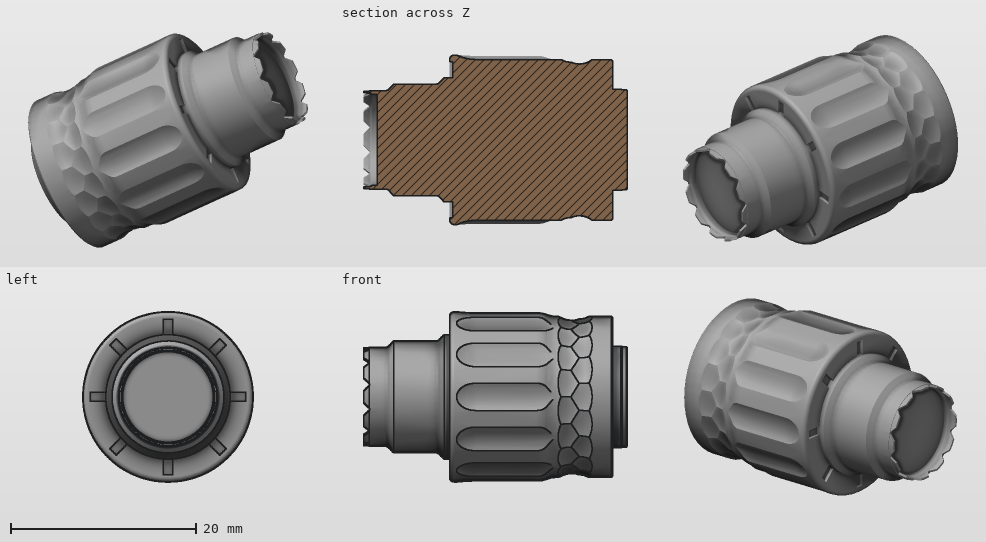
import cadquery as cq
import math

TOTAL_LENGTH = 28.5

TOOTH_RADIUS = 5.29
TOOTH_LENGTH = 0.62
TOOTH_COUNT = 12
NOTCH_ROOT_WIDTH = 0.2
NOTCH_MOUTH_WIDTH = 1.46
MOUTH_RADIUS = 5.06
BORE_RADIUS = 4.9
BORE_FILLET = 0.1
BORE_CONE_END = 0.9
BORE_DEPTH = 1.45

NOSE_RADIUS = 5.35
BARREL_RADIUS = 6.05
COLLAR_RADIUS = 6.73
NOSE_END = 2.38
BARREL_END = 7.83
SHOULDER_LENGTH = 0.86
SHOULDER_ARC_LENGTH = 0.32
SHOULDER_ANGLE = 45

GRIP_START = 9.28
GRIP_RADIUS = 9.2
GRIP_FILLET = 0.53
TAPER_START = 18.78
TAPER_ANGLE = 26.8
TAPER_LAND = 0.08
NECK_RADIUS = 8.7
NECK_END = 26.93
NECK_CHAMFER = 0.17

SPIGOT_RADIUS = 5.5
SPIGOT_TIP_RADIUS = 5.43
SPIGOT_STEP_START = 27.77
SPIGOT_STEP_END = 27.96
SPIGOT_CHAMFER = 0.13

FLUTE_COUNT = 12
FLUTE_RADIUS = 3.1
FLUTE_FLOOR = 8.71
FLUTE_RUN_START = 12.1
FLUTE_START = 10.05

POCKET_COUNT = 8
POCKET_WIDTH = 0.98
POCKET_REACH = 8.4
POCKET_DEPTH = 0.35

HOLLOW_COUNT = 18
HOLLOW_RING_CENTER = 22.85
HOLLOW_RING_SPACING = 0.96
HOLLOW_AXIAL_RADIUS = 2.16
HOLLOW_CROSS_RADIUS = 13.5
HOLLOW_DEPTH = 0.48
HOLLOW_SWEEP = 16


def spin(profile):
    """Revolve an (X, radius) outline fully around the part axis."""
    return profile.close().revolve(360, (0, 0, 0), (1, 0, 0))


def add_shoulder(outline, start, low_radius, high_radius):
    """Continue the outline with a rounded root and a cone up to the next radius."""
    arc_rise = SHOULDER_ARC_LENGTH * math.tan(math.radians(SHOULDER_ANGLE / 2))
    outline = outline.lineTo(start, low_radius)
    arc_end = (start + SHOULDER_ARC_LENGTH, low_radius + arc_rise)
    outline = outline.tangentArcPoint(arc_end, relative=False)
    return outline.lineTo(start + SHOULDER_LENGTH, high_radius)


def make_body():
    """Solid turned body: nose, barrel, collar, grip, neck and spigot."""
    land_drop = TAPER_LAND * math.tan(math.radians(TAPER_ANGLE))
    arc_drop = (GRIP_RADIUS - NECK_RADIUS - land_drop) / 2
    arc_length = arc_drop / math.tan(math.radians(TAPER_ANGLE / 2))
    land_start = TAPER_START + arc_length
    land_end = land_start + TAPER_LAND
    neck_start = land_end + arc_length
    fillet_mid = GRIP_FILLET * (1 - math.sqrt(0.5))

    outline = cq.Workplane("XY").moveTo(0, 0).lineTo(0, TOOTH_RADIUS)
    outline = outline.lineTo(TOOTH_LENGTH, TOOTH_RADIUS).lineTo(TOOTH_LENGTH, NOSE_RADIUS)
    outline = add_shoulder(outline, NOSE_END, NOSE_RADIUS, BARREL_RADIUS)
    outline = add_shoulder(outline, BARREL_END, BARREL_RADIUS, COLLAR_RADIUS)
    outline = (
        outline.lineTo(GRIP_START, COLLAR_RADIUS)
        .lineTo(GRIP_START, GRIP_RADIUS - GRIP_FILLET)
        .threePointArc(
            (GRIP_START + fillet_mid, GRIP_RADIUS - fillet_mid),
            (GRIP_START + GRIP_FILLET, GRIP_RADIUS),
        )
        .lineTo(TAPER_START, GRIP_RADIUS)
        .tangentArcPoint((land_start, GRIP_RADIUS - arc_drop), relative=False)
        .lineTo(land_end, NECK_RADIUS + arc_drop)
        .tangentArcPoint((neck_start, NECK_RADIUS), relative=False)
        .lineTo(NECK_END - NECK_CHAMFER, NECK_RADIUS)
        .lineTo(NECK_END, NECK_RADIUS - NECK_CHAMFER)
        .lineTo(NECK_END, SPIGOT_RADIUS)
        .lineTo(SPIGOT_STEP_START, SPIGOT_RADIUS)
        .lineTo(SPIGOT_STEP_END, SPIGOT_TIP_RADIUS)
        .lineTo(TOTAL_LENGTH - SPIGOT_CHAMFER, SPIGOT_TIP_RADIUS)
        .lineTo(TOTAL_LENGTH, SPIGOT_TIP_RADIUS - SPIGOT_CHAMFER)
        .lineTo(TOTAL_LENGTH, 0)
    )
    return spin(outline)


def make_bore():
    """Shallow blind bore in the nose, narrowing behind the teeth."""
    return spin(
        cq.Workplane("XY")
        .moveTo(0, 0)
        .lineTo(0, MOUTH_RADIUS)
        .lineTo(TOOTH_LENGTH, MOUTH_RADIUS)
        .lineTo(BORE_CONE_END, BORE_RADIUS)
        .lineTo(BORE_DEPTH - BORE_FILLET, BORE_RADIUS)
        .tangentArcPoint((BORE_DEPTH, BORE_RADIUS - BORE_FILLET), relative=False)
        .lineTo(BORE_DEPTH, 0)
    )


def make_notch():
    """Tapered gap between two teeth, pointing along +Z."""
    return (
        cq.Workplane("XY")
        .moveTo(0, -NOTCH_MOUTH_WIDTH / 2)
        .lineTo(TOOTH_LENGTH, -NOTCH_ROOT_WIDTH / 2)
        .lineTo(TOOTH_LENGTH, NOTCH_ROOT_WIDTH / 2)
        .lineTo(0, NOTCH_MOUTH_WIDTH / 2)
        .close()
        .extrude(NOSE_RADIUS)
    )


def make_flute():
    """Cutters for a round-bottomed flute on the +Z side and for its rising front end."""
    center = FLUTE_FLOOR + FLUTE_RADIUS
    run = (
        cq.Workplane("YZ", origin=(FLUTE_RUN_START, 0, 0))
        .center(0, center)
        .circle(FLUTE_RADIUS)
        .extrude(NECK_END - FLUTE_RUN_START)
    )
    rise = GRIP_RADIUS - FLUTE_FLOOR
    length = FLUTE_RUN_START - FLUTE_START
    sweep_radius = (length ** 2 + rise ** 2) / (2 * rise)
    pivot = FLUTE_FLOOR + sweep_radius
    half_chord = math.sqrt(FLUTE_RADIUS ** 2 - (pivot - center) ** 2)
    run_out = (
        cq.Workplane("YZ", origin=(FLUTE_RUN_START, 0, 0))
        .moveTo(-half_chord, pivot)
        .threePointArc((0, FLUTE_FLOOR), (half_chord, pivot))
        .close()
        .revolve(90, (0, pivot, 0), (1, pivot, 0))
    )
    return run, run_out


def make_pocket():
    """Cutter for one pocket running outward along +Z from the collar."""
    return cq.Workplane("XY", origin=(GRIP_START, 0, COLLAR_RADIUS)).box(
        POCKET_DEPTH,
        POCKET_WIDTH,
        POCKET_REACH - COLLAR_RADIUS,
        centered=(False, True, False),
    )


def make_hollow(axial_center):
    """Cutter for one hollow facing +Z: a slice of a ring curved in both directions."""
    floor = NECK_RADIUS - HOLLOW_DEPTH
    pivot = floor + HOLLOW_CROSS_RADIUS
    pivot_above_center = HOLLOW_CROSS_RADIUS - HOLLOW_AXIAL_RADIUS
    return (
        cq.Workplane("XZ")
        .center(axial_center, floor + HOLLOW_AXIAL_RADIUS)
        .circle(HOLLOW_AXIAL_RADIUS)
        .revolve(HOLLOW_SWEEP, (0, pivot_above_center, 0), (1, pivot_above_center, 0))
        .rotate((0, 0, pivot), (1, 0, pivot), -HOLLOW_SWEEP / 2)
    )


def cut_around(body, tool, count, first_angle=0):
    """Cut copies of a tool evenly spaced around the part axis."""
    copies = []
    for index in range(count):
        angle = first_angle + index * 360 / count
        copies.append(tool.rotate((0, 0, 0), (1, 0, 0), angle).val())
    return cq.Workplane(body.val().cut(*copies))


result = make_body().cut(make_bore())
half_tooth_pitch = 180 / TOOTH_COUNT
result = cut_around(result, make_notch(), TOOTH_COUNT, half_tooth_pitch)
for flute_piece in make_flute():
    result = cut_around(result, flute_piece, FLUTE_COUNT)
result = cut_around(result, make_pocket(), POCKET_COUNT)
half_hollow_pitch = 180 / HOLLOW_COUNT
front_ring = HOLLOW_RING_CENTER - HOLLOW_RING_SPACING / 2
rear_ring = HOLLOW_RING_CENTER + HOLLOW_RING_SPACING / 2
result = cut_around(result, make_hollow(front_ring), HOLLOW_COUNT)
result = cut_around(result, make_hollow(rear_ring), HOLLOW_COUNT, half_hollow_pitch)